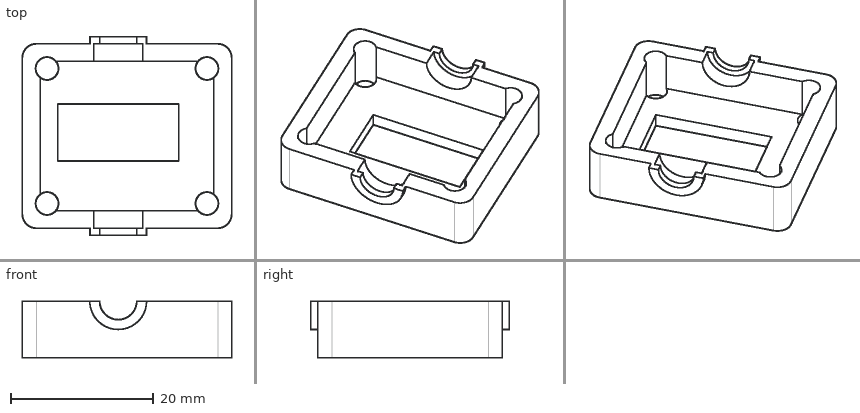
import cadquery as cq

length = 29.5
width = 26.0
height = 8.0
corner_radius = 2.0
wall = 2.5
floor = 2.0

hole_diameter = 3.2
hole_spacing_x = 22.5
hole_spacing_y = 19.0

window_length = 17.0
window_width = 8.0
window_y = 0.5

port_x = -1.25
lip_length = 1.0
lip_diameter = 8.0
lip_bore_diameter = 5.2
wall_bore_diameter = 6.9

window_x = port_x


def box_on_base(size_x, size_y, size_z):
    """Box centred in X and Y, standing on Z = 0."""
    return cq.Workplane("XY").box(size_x, size_y, size_z, centered=(True, True, False))


def lower_half_cylinder(diameter, full_length):
    """Half cylinder along Y, centred on the ports and lying below the top face."""
    radius = diameter / 2
    return (
        cq.Workplane("XZ")
        .moveTo(port_x - radius, height)
        .threePointArc((port_x, height - radius), (port_x + radius, height))
        .close()
        .extrude(full_length / 2, both=True)
    )


def make_tray():
    """Rounded block with an open rectangular cavity above the floor."""
    block = box_on_base(length, width, height).edges("|Z").fillet(corner_radius)
    cavity = box_on_base(length - 2 * wall, width - 2 * wall, height).translate((0, 0, floor))
    return block.cut(cavity)


def make_lips():
    """Half-round lips standing out from the front and back walls."""
    lips = lower_half_cylinder(lip_diameter, width + 2 * lip_length)
    return lips.cut(lower_half_cylinder(lip_diameter, width))


def make_screw_holes():
    """Four full-height cylinders overlapping the cavity corners."""
    return (
        cq.Workplane("XY")
        .rect(hole_spacing_x, hole_spacing_y, forConstruction=True)
        .vertices()
        .circle(hole_diameter / 2)
        .extrude(height)
    )


tray = make_tray().cut(lower_half_cylinder(wall_bore_diameter, width))
lip_bore = lower_half_cylinder(lip_bore_diameter, width + 2 * lip_length)
lips = make_lips().cut(lip_bore)
window = box_on_base(window_length, window_width, floor).translate((window_x, window_y, 0))

result = tray.union(lips).cut(make_screw_holes()).cut(window)